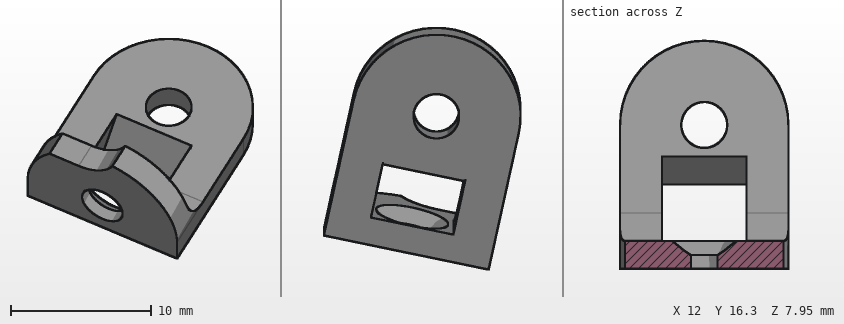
import cadquery as cq
import math

width = 12.0
thickness = 2.0
end_radius = width / 2
half_width = width / 2
length = 16.25
plate_hole_y = length - end_radius

lug_arc_center_z = 2.0
lug_full_height = lug_arc_center_z + end_radius
lug_hole_z = 2.65
root_fillet_radius = 2.0

hole_diameter = 3.25
hole_radius = hole_diameter / 2

countersink_depth = 1.0
countersink_radius = hole_radius + countersink_depth

notch_floor_z = 6.25
notch_arc_x = -1.9
notch_arc_radius = 3.0

window_width = 6.0
window_floor_end_y = 6.0
ramp_run = thickness


def make_side_profile_body():
    """L-shaped section with a filleted inner corner, extruded across the width."""
    fillet_mid_offset = root_fillet_radius * (1 - math.sqrt(0.5))
    return (
        cq.Workplane("YZ", origin=(-half_width, 0, 0))
        .moveTo(0, 0)
        .lineTo(length, 0)
        .lineTo(length, thickness)
        .lineTo(thickness + root_fillet_radius, thickness)
        .threePointArc(
            (thickness + fillet_mid_offset, thickness + fillet_mid_offset),
            (thickness, thickness + root_fillet_radius),
        )
        .lineTo(thickness, lug_full_height)
        .lineTo(0, lug_full_height)
        .close()
        .extrude(width)
    )


def make_plan_outline():
    """Plate outline seen along Z: straight sides and a rounded rear end."""
    return (
        cq.Workplane("XY")
        .moveTo(-half_width, 0)
        .lineTo(half_width, 0)
        .lineTo(half_width, plate_hole_y)
        .threePointArc((0, length), (-half_width, plate_hole_y))
        .close()
        .extrude(lug_full_height)
    )


def make_lug_outline():
    """Lug outline seen along Y: straight sides and a rounded top."""
    return (
        cq.Workplane("XZ")
        .moveTo(-half_width, 0)
        .lineTo(half_width, 0)
        .lineTo(half_width, lug_arc_center_z)
        .threePointArc((0, lug_full_height), (-half_width, lug_arc_center_z))
        .close()
        .extrude(-length)
    )


def make_notch():
    """Cutter for the flat and the concave arc in the top of the lug."""
    flat = (
        cq.Workplane("XZ")
        .moveTo(-half_width, notch_floor_z)
        .lineTo(notch_arc_x, notch_floor_z)
        .lineTo(notch_arc_x, lug_full_height)
        .lineTo(-half_width, lug_full_height)
        .close()
        .extrude(-thickness)
    )
    arc = (
        cq.Workplane("XZ")
        .center(notch_arc_x, notch_floor_z + notch_arc_radius)
        .circle(notch_arc_radius)
        .extrude(-thickness)
    )
    return flat.union(arc)


def make_window():
    """Cutter for the window, which also removes the root fillet above it."""
    ramp_end_y = window_floor_end_y + ramp_run
    return (
        cq.Workplane("YZ", origin=(-window_width / 2, 0, 0))
        .moveTo(thickness, 0)
        .lineTo(window_floor_end_y, 0)
        .lineTo(ramp_end_y, thickness)
        .lineTo(ramp_end_y, lug_full_height)
        .lineTo(thickness, lug_full_height)
        .close()
        .extrude(window_width)
    )


def make_holes():
    """Cutters for the vertical plate hole and the horizontal lug hole."""
    plate_hole = (
        cq.Workplane("XY")
        .center(0, plate_hole_y)
        .circle(hole_radius)
        .extrude(thickness)
    )
    lug_hole = (
        cq.Workplane("XZ")
        .center(0, lug_hole_z)
        .circle(hole_radius)
        .extrude(-thickness)
    )
    return plate_hole.union(lug_hole)


def make_countersink():
    """Cone cutter that opens the lug hole towards the inner face of the lug."""
    return (
        cq.Workplane("XY", origin=(0, 0, lug_hole_z))
        .moveTo(0, thickness - countersink_depth)
        .lineTo(hole_radius, thickness - countersink_depth)
        .lineTo(countersink_radius, thickness)
        .lineTo(0, thickness)
        .close()
        .revolve(360, (0, 0, 0), (0, 1, 0))
    )


body = make_side_profile_body().intersect(make_plan_outline()).intersect(make_lug_outline())
body = body.cut(make_notch()).cut(make_window())
result = body.cut(make_holes()).cut(make_countersink())